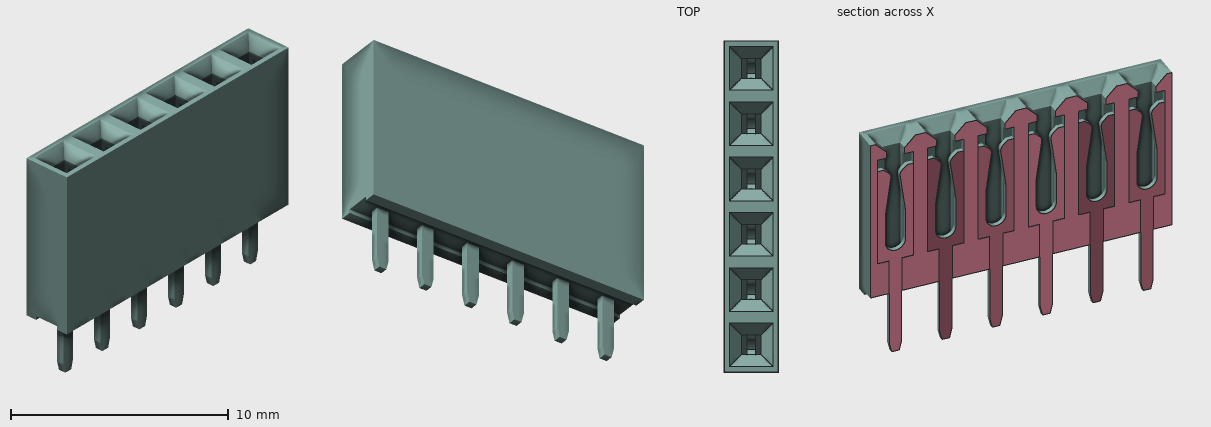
import cadquery as cq
import math


contact_count = 6
pitch = 2.54
row_positions = [(i - (contact_count - 1) / 2) * pitch for i in range(contact_count)]

housing_width = 2.5
housing_length = contact_count * pitch
housing_height = 8.5
notch_width = 1.3
notch_depth = 0.2

funnel_top_side = 2.0
shaft_side = 0.9
funnel_depth = (funnel_top_side - shaft_side) / 2
shaft_floor_z = 2.0
shaft_top_z = housing_height - funnel_depth

contact_thickness = 0.4
chamber_width = 1.8
chamber_roof_drop = 0.35
chamber_roof_z = shaft_top_z - chamber_roof_drop

pin_width = 0.65
pin_length = 3.0
pin_tip_width = 0.4
pin_tip_height = 0.5

fork_top_z = 7.0
root_radius = 0.5
root_center_z = 3.0
prong_bend_z = 4.5
gap_half_width = 0.22
lead_in_half_width = 0.36
lead_in_angle = math.radians(40)
prong_tip_half_width = 0.6


def make_cell_cutter():
    """Everything removed from the housing for one contact, centred on Y = 0."""
    funnel = (
        cq.Workplane("XY", origin=(0, 0, housing_height))
        .rect(funnel_top_side, funnel_top_side)
        .workplane(offset=-funnel_depth)
        .rect(shaft_side, shaft_side)
        .loft(ruled=True)
    )
    shaft = (
        cq.Workplane("XY", origin=(0, 0, shaft_floor_z))
        .rect(shaft_side, shaft_side)
        .extrude(shaft_top_z - shaft_floor_z)
    )
    chamber = (
        cq.Workplane("XY", origin=(0, 0, shaft_floor_z))
        .rect(contact_thickness, chamber_width)
        .extrude(chamber_roof_z - shaft_floor_z)
    )
    pin_hole = cq.Workplane("XY").rect(contact_thickness, pin_width).extrude(shaft_floor_z)
    return funnel.union(shaft).union(chamber).union(pin_hole)


def make_housing():
    body = cq.Workplane("XY").box(
        housing_width, housing_length, housing_height, centered=(True, True, False)
    )
    notch = cq.Workplane("XY").rect(notch_width, housing_length).extrude(notch_depth)
    body = body.cut(notch)
    cell_cutter = make_cell_cutter()
    for y in row_positions:
        body = body.cut(cell_cutter.translate((0, y, 0)))
    return body


def make_contact():
    """Flat contact in the YZ plane, centred on Y = 0: pin below, two-pronged fork above."""
    half_chamber = chamber_width / 2
    half_pin = pin_width / 2
    half_tip = pin_tip_width / 2

    bulge_radius = (lead_in_half_width - gap_half_width) / (1 - math.sin(lead_in_angle))
    bulge_center_y = gap_half_width + bulge_radius
    lead_in_height = (prong_tip_half_width - lead_in_half_width) * math.tan(lead_in_angle)
    lead_in_z = fork_top_z - lead_in_height
    gap_z = lead_in_z - bulge_radius * math.cos(lead_in_angle)
    middle_angle = (math.pi / 2 - lead_in_angle) / 2
    bulge_middle = (
        bulge_center_y - bulge_radius * math.cos(middle_angle),
        gap_z + bulge_radius * math.sin(middle_angle),
    )

    outline = (
        cq.Workplane("YZ", origin=(-contact_thickness / 2, 0, 0))
        .moveTo(-half_tip, -pin_length)
        .lineTo(half_tip, -pin_length)
        .lineTo(half_pin, -pin_length + pin_tip_height)
        .lineTo(half_pin, shaft_floor_z)
        .lineTo(half_chamber, shaft_floor_z)
        .lineTo(half_chamber, fork_top_z)
        .lineTo(prong_tip_half_width, fork_top_z)
        .lineTo(lead_in_half_width, lead_in_z)
        .threePointArc(bulge_middle, (gap_half_width, gap_z))
        .lineTo(root_radius, prong_bend_z)
        .lineTo(root_radius, root_center_z)
        .threePointArc((0, root_center_z - root_radius), (-root_radius, root_center_z))
        .lineTo(-root_radius, prong_bend_z)
        .lineTo(-gap_half_width, gap_z)
        .threePointArc((-bulge_middle[0], bulge_middle[1]), (-lead_in_half_width, lead_in_z))
        .lineTo(-prong_tip_half_width, fork_top_z)
        .lineTo(-half_chamber, fork_top_z)
        .lineTo(-half_chamber, shaft_floor_z)
        .lineTo(-half_pin, shaft_floor_z)
        .lineTo(-half_pin, -pin_length + pin_tip_height)
        .close()
    )
    return outline.extrude(contact_thickness)


housing = make_housing()
contact = make_contact()
contacts = [contact.translate((0, y, 0)) for y in row_positions]

result = cq.Compound.makeCompound([housing.val(), *[placed.val() for placed in contacts]])